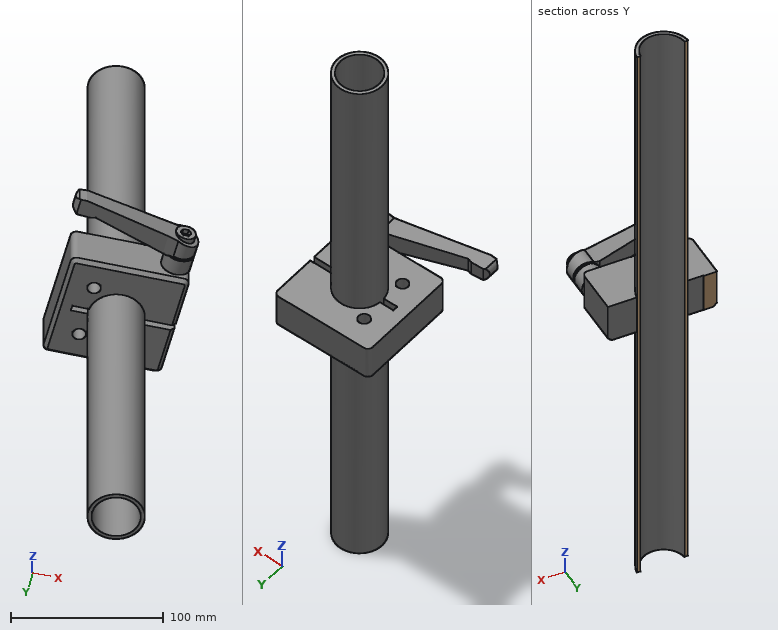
import cadquery as cq

tube_length = 450.0
tube_diameter = 38.0
tube_bore = 32.5

clamp_side = 80.0
clamp_height = 30.0
corner_radius = 4.0
bottom_chamfer = 2.5
slot_width = 4.0
slot_end_x = -30.0
mount_hole_diameter = 9.0
mount_hole_offset = clamp_side / 4

clamp_face = clamp_side / 2
hub_radius = 10.0
hub_x = clamp_face - hub_radius
collar_length = 11.5
groove_width = 1.5
groove_depth = 0.68
lever_start_y = -clamp_face - collar_length - groove_width
screw_end_y = -68.5
screw_radius = 6.8
socket_width = 7.0
socket_depth = 3.5

underside_start = (-41.5, -86.0)
hub_trim_y = -62.5
tip_x = -48.5
tip_top_z = 1.0


def make_tube():
    ring = cq.Workplane("XY").circle(tube_diameter / 2).circle(tube_bore / 2)
    return ring.extrude(tube_length / 2, both=True)


def make_clamp():
    block = cq.Workplane("XY").box(clamp_side, clamp_side, clamp_height)
    block = block.edges("|Z").fillet(corner_radius)
    block = block.faces("<Z").edges().chamfer(bottom_chamfer)

    bore = cq.Workplane("XY").circle(tube_diameter / 2).extrude(clamp_height, both=True)
    slot_length = clamp_face - slot_end_x
    slot = cq.Workplane("XY").box(slot_length, slot_width, clamp_height)
    slot = slot.translate(((clamp_face + slot_end_x) / 2, 0, 0))
    mount_holes = (
        cq.Workplane("XY")
        .pushPoints([(-mount_hole_offset, side * mount_hole_offset) for side in (-1, 1)])
        .circle(mount_hole_diameter / 2)
        .extrude(clamp_height, both=True)
    )
    return block.cut(bore).cut(slot).cut(mount_holes)


def hub_cylinder(radius, start_y, end_y):
    """Cylinder on the hub axis, running from start_y towards -Y."""
    plane = cq.Workplane("XZ", origin=(hub_x, start_y, 0))
    return plane.circle(radius).extrude(start_y - end_y)


def make_arm_plan():
    """Side profile of arm and hub in XY, thick enough to contain the whole hub."""
    return (
        cq.Workplane("XY")
        .moveTo(clamp_face, lever_start_y)
        .lineTo(hub_x - hub_radius, lever_start_y)
        .lineTo(-32.5, -73.5)
        .lineTo(-36.0, -72.5)
        .lineTo(-45.0, -73.5)
        .lineTo(tip_x, -76.0)
        .lineTo(tip_x, -84.0)
        .lineTo(-46.5, underside_start[1])
        .lineTo(*underside_start)
        .lineTo(clamp_face, hub_trim_y)
        .close()
        .extrude(hub_radius, both=True)
    )


def make_arm_outline():
    """Outline of the arm in XZ, narrowing from the hub to the rounded tip."""
    depth = -underside_start[1]
    return (
        cq.Workplane("XZ")
        .moveTo(hub_x, 9.0)
        .lineTo(20.5, 7.5)
        .lineTo(-46.5, tip_top_z)
        .threePointArc((tip_x, -4.5), (-45.5, -hub_radius))
        .lineTo(18.0, -8.0)
        .lineTo(hub_x, -9.0)
        .close()
        .extrude(depth)
    )


def make_lever():
    hub = hub_cylinder(hub_radius, lever_start_y, underside_start[1])
    lever = make_arm_outline().union(hub).intersect(make_arm_plan())

    collar_end_y = -clamp_face - collar_length
    lever = lever.union(hub_cylinder(hub_radius, -clamp_face, collar_end_y))
    lever = lever.union(hub_cylinder(hub_radius - groove_depth, collar_end_y, lever_start_y))
    lever = lever.union(hub_cylinder(screw_radius, lever_start_y, screw_end_y))

    socket = cq.Workplane("XZ", origin=(hub_x, screw_end_y, 0))
    socket = socket.polygon(6, socket_width).extrude(-socket_depth)
    return lever.cut(socket)


tube = make_tube()
clamp = make_clamp()
lever = make_lever()
result = cq.Compound.makeCompound([tube.val(), clamp.val(), lever.val()])